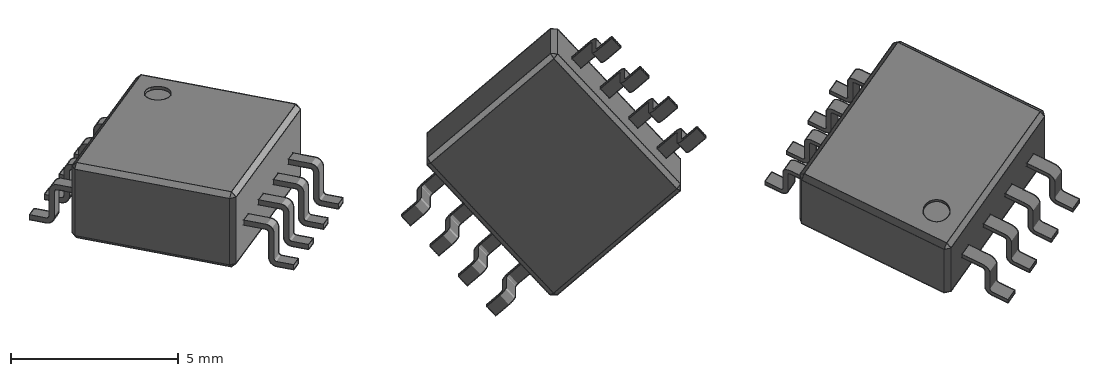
import cadquery as cq

HOUSING_X = 5.24
HOUSING_Y = 5.81
HOUSING_CHAMFER = 0.15
STANDOFF = 0.1
OVERALL_HEIGHT = 2.7
HOUSING_Z = OVERALL_HEIGHT - STANDOFF

LEAD_COUNT = 4
LEAD_PITCH = 1.27
LEAD_SPAN = 8.42
LEAD_WIDTH = 0.4
LEAD_THICKNESS = 0.18
LEAD_TOP = 1.4
SHANK_SPAN = 7.17
BEND_INNER_RADIUS = 0.09
BEND_OUTER_RADIUS = BEND_INNER_RADIUS + LEAD_THICKNESS

MARKER_DIAMETER = 0.8
MARKER_INSET = 1.0
MARKER_DEPTH = 0.1
MARKER_THICKNESS = 0.1
MARKER_X = MARKER_INSET - HOUSING_X / 2
MARKER_Y = HOUSING_Y / 2 - MARKER_INSET
MARKER_TOP = OVERALL_HEIGHT - MARKER_DEPTH
MARKER_BOTTOM = MARKER_TOP - MARKER_THICKNESS


def make_lead(y):
    """One strap centred on the given Y, with rounded bends and a foot at each end."""
    toe = LEAD_SPAN / 2
    shank_outer = SHANK_SPAN / 2
    shank_inner = shank_outer - LEAD_THICKNESS
    strap_bottom = LEAD_TOP - LEAD_THICKNESS
    outline = [
        (-toe, 0), (-shank_inner, 0), (-shank_inner, strap_bottom),
        (shank_inner, strap_bottom), (shank_inner, 0), (toe, 0),
        (toe, LEAD_THICKNESS), (shank_outer, LEAD_THICKNESS), (shank_outer, LEAD_TOP),
        (-shank_outer, LEAD_TOP), (-shank_outer, LEAD_THICKNESS), (-toe, LEAD_THICKNESS),
    ]
    lead = (
        cq.Workplane("XZ", origin=(0, y, 0))
        .polyline(outline)
        .close()
        .extrude(LEAD_WIDTH / 2, both=True)
    )
    for x, z in [(shank_inner, 0), (shank_outer, LEAD_TOP)]:
        lead = round_bends(lead, x, z, y, BEND_OUTER_RADIUS)
    for x, z in [(shank_inner, strap_bottom), (shank_outer, LEAD_THICKNESS)]:
        lead = round_bends(lead, x, z, y, BEND_INNER_RADIUS)
    return lead


def round_bends(lead, x, z, y, radius):
    """Fillet the two mirrored bend edges at +x and -x."""
    for side in (-1, 1):
        nearest = cq.selectors.NearestToPointSelector((side * x, y, z))
        lead = lead.edges("|Y").edges(nearest).fillet(radius)
    return lead


def make_marker(bottom, top):
    """Cylinder at the pin 1 position between two heights."""
    return (
        cq.Workplane("XY", origin=(MARKER_X, MARKER_Y, bottom))
        .circle(MARKER_DIAMETER / 2)
        .extrude(top - bottom)
    )


def make_housing(leads):
    """Chamfered block with a marker recess and a fitted slot for every strap."""
    housing = (
        cq.Workplane("XY", origin=(0, 0, STANDOFF))
        .box(HOUSING_X, HOUSING_Y, HOUSING_Z, centered=(True, True, False))
        .edges()
        .chamfer(HOUSING_CHAMFER)
        .cut(make_marker(MARKER_BOTTOM, OVERALL_HEIGHT))
    )
    for lead in leads:
        housing = housing.cut(lead)
    return housing


leads = []
for index in range(LEAD_COUNT):
    leads.append(make_lead((index - (LEAD_COUNT - 1) / 2) * LEAD_PITCH))
marker = make_marker(MARKER_BOTTOM, MARKER_TOP)
housing = make_housing(leads)

result = cq.Compound.makeCompound([housing.val(), marker.val(), *[lead.val() for lead in leads]])